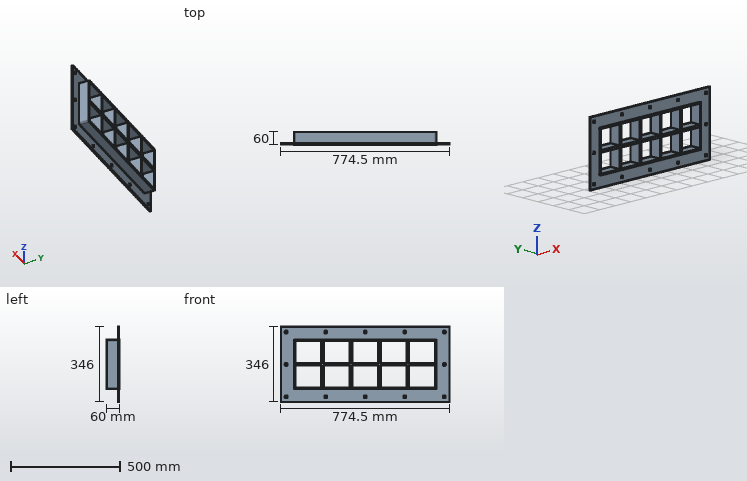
import cadquery as cq

plate_length = 774.5
plate_height = 346.0
plate_thickness = 6.0

flange_width = 60.0
duct_length = plate_length - 2 * flange_width
duct_height = plate_height - 2 * flange_width
duct_depth = 60.0
duct_corner_radius = 7.0
front_lip = 3.0

columns = 5
rows = 2
wall = 7.0
rib = 12.0
cell_length = (duct_length - 2 * wall - (columns - 1) * rib) / columns
cell_height = (duct_height - 2 * wall - (rows - 1) * rib) / rows

hole_diameter = 11.0
hole_edge_distance = 25.0
holes_along_length = 5
holes_along_height = 3


def block(length, depth, height, front):
    """Block centred on X and Z, reaching from y = front towards +Y."""
    return cq.Workplane("XY").box(length, depth, height).translate((0, front + depth / 2, 0))


def mounting_hole_centres():
    """Hole centres along all four edges, with the corners shared."""
    step_x = (plate_length - 2 * hole_edge_distance) / (holes_along_length - 1)
    step_z = (plate_height - 2 * hole_edge_distance) / (holes_along_height - 1)
    centres = []
    for i in range(holes_along_length):
        for j in range(holes_along_height):
            on_end = i in (0, holes_along_length - 1)
            on_long_edge = j in (0, holes_along_height - 1)
            if on_end or on_long_edge:
                x = hole_edge_distance - plate_length / 2 + i * step_x
                z = hole_edge_distance - plate_height / 2 + j * step_z
                centres.append((x, z))
    return centres


def make_plate():
    holes = (
        cq.Workplane("XZ", origin=(0, front_lip + plate_thickness, 0))
        .pushPoints(mounting_hole_centres())
        .circle(hole_diameter / 2)
        .extrude(plate_thickness)
    )
    return block(plate_length, plate_thickness, plate_height, front_lip).cut(holes)


def make_duct():
    return block(duct_length, duct_depth, duct_height, 0).edges("|Y").fillet(duct_corner_radius)


def make_cells():
    return (
        cq.Workplane("XZ", origin=(0, duct_depth, 0))
        .rarray(cell_length + rib, cell_height + rib, columns, rows)
        .rect(cell_length, cell_height)
        .extrude(duct_depth)
    )


result = make_plate().union(make_duct()).cut(make_cells())